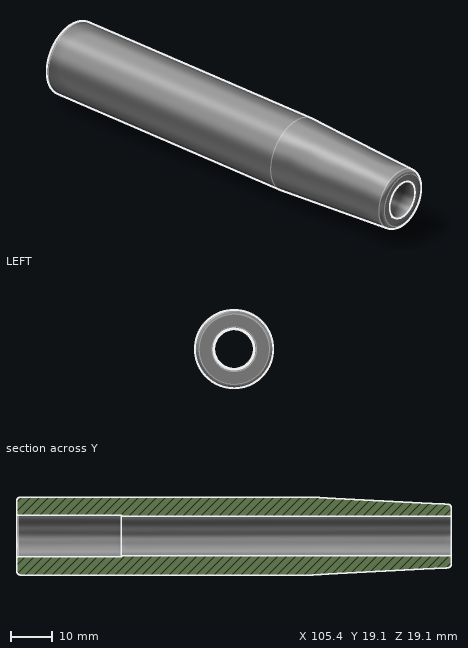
import cadquery as cq

total_length = 105.41
body_diameter = 19.05
cylinder_length = 71.6
tip_diameter = 15.5
end_rounding = 1.0

bore_diameter = 9.53
counterbore_diameter = 10.0
counterbore_depth = 25.4
mouth_rounding = 0.4

body_start = -total_length / 2
body_end = total_length / 2
taper_start = body_start + cylinder_length


def make_outer_body():
    """Solid cylinder that tapers toward +X, with both end rims rounded."""
    outline = (
        cq.Workplane("XY")
        .moveTo(body_start, 0)
        .lineTo(body_start, body_diameter / 2)
        .lineTo(taper_start, body_diameter / 2)
        .lineTo(body_end, tip_diameter / 2)
        .lineTo(body_end, 0)
        .close()
    )
    body = outline.revolve(360, (0, 0, 0), (1, 0, 0))
    return body.faces("<X or >X").edges().fillet(end_rounding)


def make_bore(diameter, depth):
    """Round cutter that runs from the -X end into the part."""
    return cq.Workplane("YZ", origin=(body_start, 0, 0)).circle(diameter / 2).extrude(depth)


def round_bore_mouth(sleeve):
    """Round the inner, smaller circle of the -X end face."""
    smallest_circle = cq.selectors.RadiusNthSelector(0)
    return sleeve.faces("<X").edges(smallest_circle).fillet(mouth_rounding)


through_bore = make_bore(bore_diameter, total_length)
counterbore = make_bore(counterbore_diameter, counterbore_depth)

result = round_bore_mouth(make_outer_body().cut(through_bore).cut(counterbore))